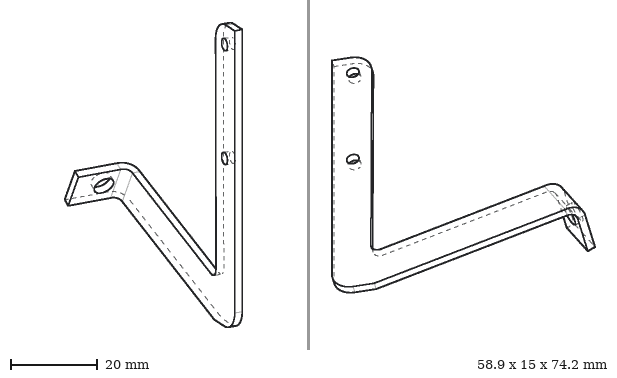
import cadquery as cq
import math

width = 58.9
depth = 15.0
height = 74.2
thickness = 2.0

leg_top_x = 49.45
leg_taper = 0.2
arm_slope = math.radians(17.7)
corner_radius = 5.0
inner_corner_radius = 1.8

leg_hole_diameter = 2.9
leg_hole_x = 53.9
leg_hole_top_z = height - corner_radius
leg_hole_spacing = 28.0

flange_tilt = math.radians(30)
flange_width = 10.0
flange_corner_z = 15.9
bend_inner_radius = 2.0
bend_outer_radius = bend_inner_radius + thickness
bend_sideways_shift = 0.6
flange_hole_diameter = 4.9
flange_hole_depth = 7.0

flange_plane = cq.Plane(
    origin=(0, 0, flange_corner_z),
    xDir=(math.cos(flange_tilt), 0, -math.sin(flange_tilt)),
    normal=(0, -1, 0),
)


def flat_plate():
    """L-shaped sheet: the leg and the arm up to the bend line."""
    bend_low = flange_plane.toWorldCoords((bend_outer_radius, bend_sideways_shift, 0))
    bend_high = flange_plane.toWorldCoords((bend_outer_radius, bend_sideways_shift + flange_width, 0))
    slope = math.tan(arm_slope)
    knee_x = bend_low.x + bend_low.z / slope
    inner_x = leg_top_x + leg_taper
    inner_z = bend_high.z - (inner_x - bend_high.x) * slope
    outline = [
        (bend_low.x, bend_low.z),
        (knee_x, 0),
        (width, 0),
        (width, height),
        (leg_top_x, height),
        (inner_x, inner_z),
        (bend_high.x, bend_high.z),
    ]
    plate = cq.Workplane("XZ").polyline(outline).close().extrude(thickness)

    def round_corner(body, x, z, radius):
        nearest = cq.selectors.NearestToPointSelector((x, -thickness / 2, z))
        return body.edges("|Y").edges(nearest).fillet(radius)

    plate = round_corner(plate, width, 0, corner_radius)
    plate = round_corner(plate, leg_top_x, height, corner_radius)
    plate = round_corner(plate, inner_x, inner_z, inner_corner_radius)

    hole_centers = [(leg_hole_x, leg_hole_top_z), (leg_hole_x, leg_hole_top_z - leg_hole_spacing)]
    holes = cq.Workplane("XZ").pushPoints(hole_centers).circle(leg_hole_diameter / 2).extrude(thickness)
    return plate.cut(holes)


def bend_edge(radius, offset):
    """Quarter-turn helix from the arm (t = 0) to the flange (t = 1)."""
    def point(t):
        angle = t * math.pi / 2
        return (
            bend_outer_radius - radius * math.sin(angle),
            offset + bend_sideways_shift * (1 - t),
            bend_outer_radius - radius * math.cos(angle),
        )

    return cq.Workplane(flange_plane).parametricCurve(point, N=20).edges().val()


def bend():
    """Quarter bend whose side edges drift along the bend, bounded by ruled faces."""
    corners = [
        bend_edge(bend_outer_radius, 0),
        bend_edge(bend_outer_radius, flange_width),
        bend_edge(bend_inner_radius, flange_width),
        bend_edge(bend_inner_radius, 0),
    ]
    following = corners[1:] + corners[:1]
    faces = [cq.Face.makeRuledSurface(first, second) for first, second in zip(corners, following)]
    for end in (0, 1):
        rim = [edge.positionAt(end) for edge in corners]
        faces.append(cq.Face.makeFromWires(cq.Wire.makePolygon(rim, close=True)))
    return cq.Workplane(cq.Solid.makeSolid(cq.Shell.makeShell(faces)))


def flange():
    """Flat tab square to the arm, with a hole through it."""
    length = depth - bend_outer_radius
    tab = (
        cq.Workplane(flange_plane)
        .workplane(offset=bend_outer_radius)
        .rect(thickness, flange_width, centered=False)
        .extrude(length)
    )
    hole_start = flange_plane.toWorldCoords((0, flange_width / 2, flange_hole_depth))
    hole = cq.Solid.makeCylinder(flange_hole_diameter / 2, thickness, hole_start, flange_plane.xDir)
    return tab.cut(cq.Workplane(hole))


result = flat_plate().union(bend()).union(flange())